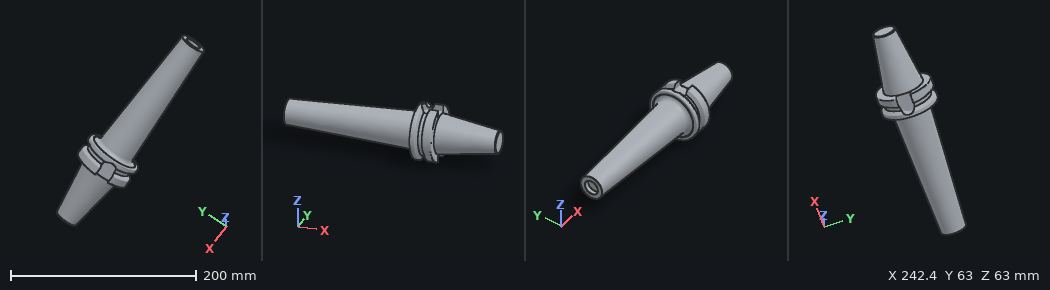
import cadquery as cq
import math

total_length = 242.4
taper_length = 65.4
gauge_to_flange_front = 27.0
gauge_to_flange_rear = 2.0
flange_front_x = -gauge_to_flange_front
flange_rear_x = -gauge_to_flange_rear
taper_end_x = taper_length
nose_x = taper_end_x - total_length

gauge_diameter = 44.45
taper_rate = 7 / 24
taper_end_chamfer = 1.0

flange_diameter = 63.0
flange_edge_radius = 1.0
groove_floor_diameter = 53.0
groove_floor_width = 4.4
groove_center_x = -16.6
groove_flank_angle = 30.0

nose_diameter = 29.0
nose_straight_length = 4.5
nose_chamfer = 0.3
neck_diameter = 42.1
neck_straight_length = 0.7
neck_fillet_radius = 5.5
face_recess_depth = 0.3
face_recess_diameter = 54.7

bore_diameter = 17.0
bore_depth = 6.0
bore_mouth_chamfer = 0.3

slot_width = 16.1
slot_length = 21.3
slot_floor_height = 22.5
slot_floor_fillet = 1.0
slot_cutter_clearance = 1.0


def taper_radius(x):
    """Radius of the taper shank at axial position x."""
    return (gauge_diameter - taper_rate * x) / 2


def make_body():
    """Revolve the half profile about the X axis, with radius along Z."""
    flange_radius = flange_diameter / 2
    floor_radius = groove_floor_diameter / 2
    neck_radius = neck_diameter / 2
    nose_radius = nose_diameter / 2

    recess_x = flange_front_x + face_recess_depth
    fillet_start_x = recess_x - neck_fillet_radius
    fillet_end_radius = neck_radius + neck_fillet_radius
    fillet_mid_offset = neck_fillet_radius * math.sin(math.radians(45))
    fillet_mid_x = fillet_start_x + fillet_mid_offset
    fillet_mid_radius = fillet_end_radius - fillet_mid_offset

    floor_start_x = groove_center_x - groove_floor_width / 2
    floor_end_x = groove_center_x + groove_floor_width / 2
    flank_run = (flange_radius - floor_radius) * math.tan(math.radians(groove_flank_angle))
    chamfer_start_x = taper_end_x - taper_end_chamfer
    chamfer_start_radius = taper_radius(chamfer_start_x)

    profile = (
        cq.Workplane("XZ")
        .moveTo(nose_x, 0)
        .lineTo(nose_x, nose_radius - nose_chamfer)
        .lineTo(nose_x + nose_chamfer, nose_radius)
        .lineTo(nose_x + nose_straight_length, nose_radius)
        .lineTo(fillet_start_x - neck_straight_length, neck_radius)
        .lineTo(fillet_start_x, neck_radius)
        .threePointArc((fillet_mid_x, fillet_mid_radius), (recess_x, fillet_end_radius))
        .lineTo(flange_front_x, face_recess_diameter / 2)
        .lineTo(flange_front_x, flange_radius)
        .lineTo(floor_start_x - flank_run, flange_radius)
        .lineTo(floor_start_x, floor_radius)
        .lineTo(floor_end_x, floor_radius)
        .lineTo(floor_end_x + flank_run, flange_radius)
        .lineTo(flange_rear_x, flange_radius)
        .lineTo(flange_rear_x, taper_radius(flange_rear_x))
        .lineTo(chamfer_start_x, chamfer_start_radius)
        .lineTo(taper_end_x, chamfer_start_radius - taper_end_chamfer)
        .lineTo(taper_end_x, 0)
        .close()
    )
    body = profile.revolve(360, (0, 0, 0), (1, 0, 0))
    flange_rims = body.edges(cq.selectors.RadiusNthSelector(-1))
    return flange_rims.fillet(flange_edge_radius)


def make_bore():
    """Blind bore cutter with a flared mouth at the nose face."""
    bore_radius = bore_diameter / 2
    bore_end_x = nose_x + bore_depth
    profile = (
        cq.Workplane("XZ")
        .moveTo(nose_x, 0)
        .lineTo(nose_x, bore_radius + bore_mouth_chamfer)
        .lineTo(nose_x + bore_mouth_chamfer, bore_radius)
        .lineTo(bore_end_x, bore_radius)
        .lineTo(bore_end_x, 0)
        .close()
    )
    return profile.revolve(360, (0, 0, 0), (1, 0, 0))


def make_drive_slot():
    """Slot cutter on the +Z side: round inner end, open through the flange rear face."""
    half_width = slot_width / 2
    slot_end_x = flange_rear_x - slot_length
    arc_start_x = slot_end_x + half_width
    cut_height = flange_diameter / 2 - slot_floor_height + slot_cutter_clearance
    cutter = (
        cq.Workplane("XY", origin=(0, 0, slot_floor_height))
        .moveTo(flange_rear_x, half_width)
        .lineTo(arc_start_x, half_width)
        .threePointArc((slot_end_x, 0), (arc_start_x, -half_width))
        .lineTo(flange_rear_x, -half_width)
        .close()
        .extrude(cut_height)
    )
    return cutter.faces("<Z").edges("not(>X)").fillet(slot_floor_fillet)


drive_slot = make_drive_slot()
opposite_slot = drive_slot.rotate((0, 0, 0), (1, 0, 0), 180)
result = make_body().cut(make_bore()).cut(drive_slot).cut(opposite_slot)